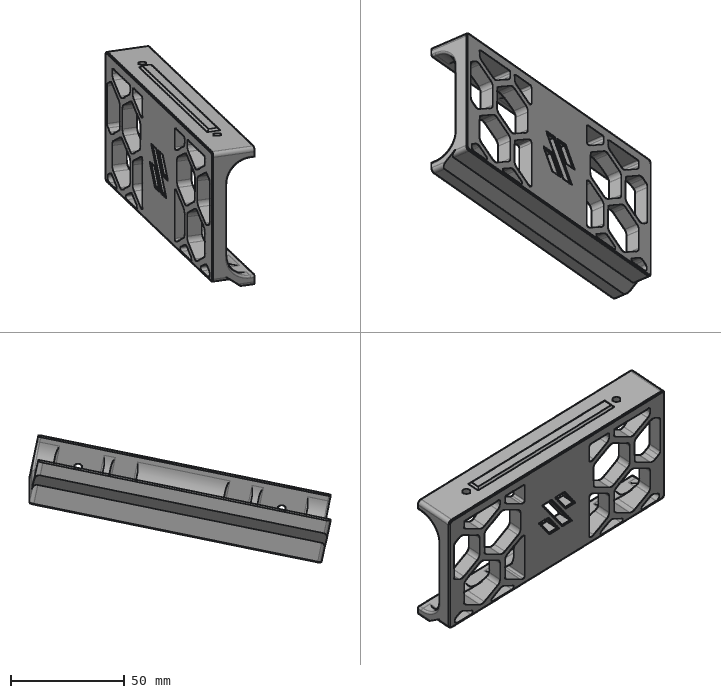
import cadquery as cq
import math

length = 132.0
depth = 20.0
height = 66.8

ridge_height = 1.0
shell_top = height - ridge_height
panel_bottom = 4.0
arm_bottom_face = 60.9
arm_top_face = 5.0
panel_thickness = 7.0
inner_radius = 11.0
end_radius = 2.0
end_edge_radius = 1.0
front_chamfer = 0.5
bevel_angle = 45

front_y = -depth / 2
back_y = depth / 2
panel_back_y = front_y + panel_thickness

foot_length = 5.8
slope_run = 5.1
slope_per_height = slope_run / panel_bottom

ridge_length = 83.4
ridge_width = 6.2
hole_diameter = 3.5

hex_width = 22.0
rib = 3.0
hex_corner_diameter = 6.0
trim_corner_radius = 1.0
end_trim_corner_radius = 2.0
group_inner_x = 19.8
group_outer_x = 63.1
hex_column_x = 46.0
hex_row_z = 19.5
hex_pitch = hex_width + rib
hex_row_pitch = hex_pitch * math.sin(math.radians(60))

slot_width = 6.0
slot_height = 19.0
short_slot_height = 9.9
slot_spacing = 7.9
slot_lean = 0.65
slot_center_z = (arm_top_face + arm_bottom_face) / 2


def rounded_block(bottom_z):
    """Full-depth block up to the shell top, rounded along its four long Y edges."""
    block_height = shell_top - bottom_z
    block = cq.Workplane("XY").box(length, depth, block_height, centered=(True, True, False))
    return block.translate((0, 0, bottom_z)).edges("|Y").fillet(end_radius)


def prism_along_x(points):
    """Full-length prism with a (y, z) outline."""
    return cq.Workplane("YZ").polyline(points).close().extrude(length / 2, both=True)


def make_shell():
    panel_block = rounded_block(panel_bottom).faces("<Y").chamfer(front_chamfer)

    slope_start_y = back_y - foot_length
    slope_top_z = panel_bottom + end_radius
    slope_end_y = slope_start_y - slope_top_z * slope_per_height
    foot_outline = [
        (back_y, 0),
        (slope_start_y, 0),
        (slope_end_y, slope_top_z),
        (back_y, slope_top_z),
    ]
    foot = rounded_block(0).intersect(prism_along_x(foot_outline))
    shell = panel_block.union(foot)

    cavity_depth = 2 * (back_y - panel_back_y)
    cavity_height = arm_bottom_face - arm_top_face
    cavity = (
        cq.Workplane("XY")
        .box(length, cavity_depth, cavity_height, centered=(True, False, False))
        .translate((0, panel_back_y, arm_top_face))
        .edges("|X and <Y")
        .fillet(inner_radius)
    )
    shell = shell.cut(cavity)

    margin = 0.1
    cavity_space = cq.selectors.BoxSelector(
        (-length, panel_back_y - margin, arm_top_face - margin),
        (length, back_y - margin, arm_bottom_face + margin),
    )
    rim = shell.edges(cavity_space).edges("<X or >X")
    return rim.fillet(end_edge_radius)


def make_ridge():
    ridge = cq.Workplane("XY").workplane(offset=shell_top).rect(ridge_length, ridge_width)
    return ridge.extrude(ridge_height, taper=bevel_angle)


def make_holes():
    holes_bottom_z = arm_bottom_face - inner_radius
    holes = cq.Workplane("XY").workplane(offset=holes_bottom_z)
    holes = holes.pushPoints([(-hex_column_x, 0), (hex_column_x, 0)])
    return holes.circle(hole_diameter / 2).extrude(shell_top - holes_bottom_z)


def round_corners(window, radius):
    """Round the outline by shrinking it and growing it back; larger roundings stay as they are."""
    outline = window.faces("<Y").wires().val()
    inset = outline.offset2D(-radius)[0]
    rounded = inset.offset2D(radius, "arc")[0]
    return cq.Workplane("XZ").add(rounded).toPending().extrude(-2 * depth)


def make_window(center_x, center_z):
    """Pointed-top hexagon cutter with rounded corners, trimmed to the window area."""
    corner_distance = hex_width / 2 / math.cos(math.radians(30))
    corners = []
    for i in range(6):
        angle = math.radians(30 + 60 * i)
        corners.append((corner_distance * math.cos(angle), corner_distance * math.sin(angle)))
    hexagon = (
        cq.Workplane("XZ")
        .polyline(corners)
        .close()
        .extrude(depth, both=True)
        .edges("|Y")
        .fillet(hex_corner_diameter / 2)
        .translate((center_x, 0, center_z))
    )
    area_width = group_outer_x - group_inner_x
    area_height = arm_bottom_face - arm_top_face
    area_center_x = -(group_outer_x + group_inner_x) / 2
    area_center_z = (arm_top_face + arm_bottom_face) / 2
    area = cq.Workplane("XY").box(area_width, 2 * depth, area_height)
    trimmed = hexagon.intersect(area.translate((area_center_x, 0, area_center_z)))
    window = round_corners(trimmed, trim_corner_radius)

    if center_x - hex_width / 2 < -group_outer_x:
        inner_half = cq.Workplane("XY", origin=(center_x, 0, 0)).box(
            hex_width, 4 * depth, 2 * height, centered=(False, True, True)
        )
        window = round_corners(trimmed, end_trim_corner_radius).union(window.intersect(inner_half))
    return window


def make_windows():
    """The honeycomb windows of the -X group: four staggered rows of two."""
    windows = cq.Workplane("XY")
    for row in range(-1, 3):
        shift = -hex_pitch / 2 if row % 2 else 0
        for column in range(2):
            center_x = -hex_column_x + shift + column * hex_pitch
            windows.add(make_window(center_x, hex_row_z + row * hex_row_pitch))
    return windows.combine()


def make_slot(center_x, center_z, tall):
    """Slanted slot cutter through the panel, chamfered at the front face."""
    half_run = slot_lean * tall / 2
    half_width = slot_width / 2
    outline = [
        (center_x - half_run - half_width, center_z + tall / 2),
        (center_x - half_run + half_width, center_z + tall / 2),
        (center_x + half_run + half_width, center_z - tall / 2),
        (center_x + half_run - half_width, center_z - tall / 2),
    ]
    mouth = (
        cq.Workplane("XZ", origin=(0, front_y, 0))
        .polyline(outline)
        .close()
        .extrude(-front_chamfer, taper=bevel_angle)
    )
    passage = (
        cq.Workplane("XZ", origin=(0, front_y, 0))
        .polyline(outline)
        .close()
        .offset2D(-front_chamfer)
        .extrude(-panel_thickness)
    )
    return mouth.union(passage)


def make_slots():
    end_shift = (slot_height - short_slot_height) / 2
    short_x = slot_spacing - slot_lean * end_shift
    slots = make_slot(0, slot_center_z, slot_height)
    slots = slots.union(make_slot(short_x, slot_center_z + end_shift, short_slot_height))
    return slots.union(make_slot(-short_x, slot_center_z - end_shift, short_slot_height))


windows = make_windows()
result = (
    make_shell()
    .union(make_ridge())
    .cut(make_holes())
    .cut(windows)
    .cut(windows.mirror("YZ"))
    .cut(make_slots())
)